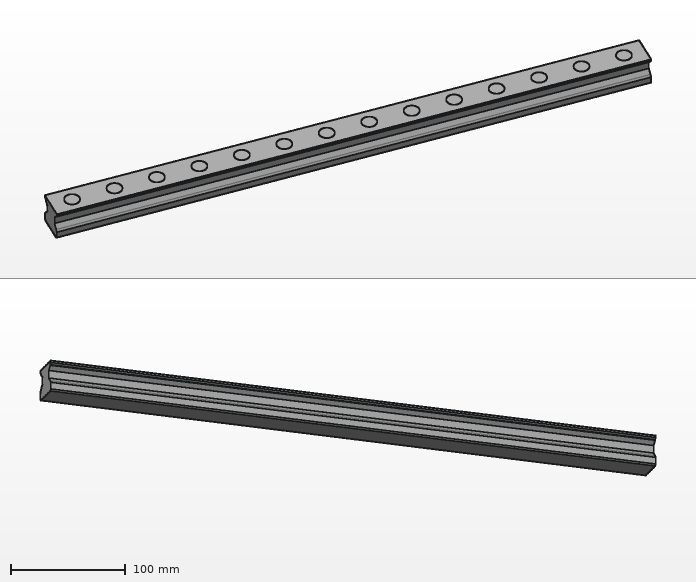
import cadquery as cq

length = 560.0
width = 28.0
height = 28.0
half_width = width / 2

bevel_width = 1.5
flank_width = 3.65
lip_height = 1.95
head_bevel_height = 1.4
shoulder_land = 0.5
foot_side_height = 6.0
foot_bevel_height = 2.0
foot_chamfer = 1.4

shoulder_half_width = half_width - bevel_width
neck_half_width = shoulder_half_width - flank_width
lip_bottom = height - lip_height
upper_shoulder_top = lip_bottom - head_bevel_height
upper_shoulder_bottom = upper_shoulder_top - shoulder_land
neck_top = upper_shoulder_bottom - flank_width
foot_side_top = foot_chamfer + foot_side_height
lower_shoulder = foot_side_top + foot_bevel_height
neck_bottom = lower_shoulder + flank_width

hole_count = 14
hole_pitch = length / hole_count
hole_diameter = 14.0
hole_depth = 0.3


def rail_body():
    """Waisted rail profile, symmetric about the YZ plane, extruded along Y."""
    right_side = [
        (half_width - foot_chamfer, 0),
        (half_width, foot_chamfer),
        (half_width, foot_side_top),
        (shoulder_half_width, lower_shoulder),
        (neck_half_width, neck_bottom),
        (neck_half_width, neck_top),
        (shoulder_half_width, upper_shoulder_bottom),
        (shoulder_half_width, upper_shoulder_top),
        (half_width, lip_bottom),
        (half_width, height),
    ]
    left_side = [(-x, z) for x, z in reversed(right_side)]
    return (
        cq.Workplane("XZ")
        .polyline(right_side + left_side)
        .close()
        .extrude(length / 2, both=True)
    )


def recess_cutters():
    """Shallow discs, one for each recess in the top face."""
    return (
        cq.Workplane("XY", origin=(0, 0, height - hole_depth))
        .rarray(5.5, hole_pitch, 1, hole_count)
        .circle(hole_diameter / 2)
        .extrude(hole_depth)
    )


result = rail_body().cut(recess_cutters())